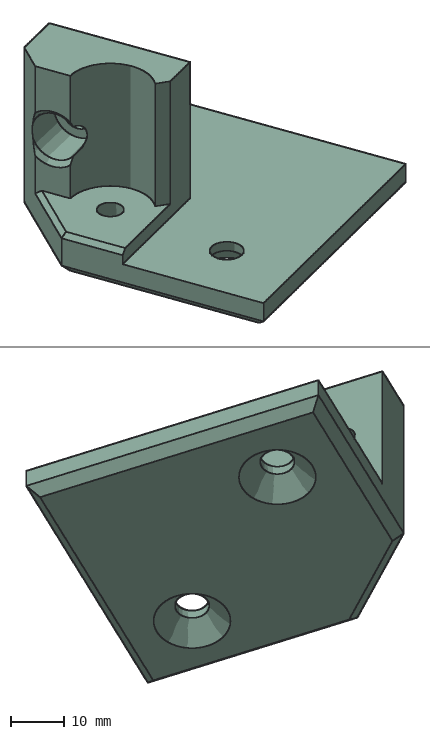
import cadquery as cq
import math

length = 60.0
width = 57.0
plate_height = 6.0
corner_cut = 17.0
bottom_chamfer = 2.0

block_length = 30.0
block_width = 27.0
total_height = 36.0
floor_height = 9.0
edge_chamfer = 1.0

seat_x = 21.0
seat_y = 12.0
seat_radius = 8.5
lip_x = 27.9

pin_diameter = 5.1
pin_depth = 6.0

mount_diameter = 6.4
mount_lip = 2.0
mount_centers = [(15.0, 42.0), (45.0, 13.5)]

screw_x = 8.7
screw_z = 21.0
screw_diameter = 6.1
head_diameter = 10.0
head_seat_wall = 5.0


def cut_corner_slab(size_x, size_y, height):
    """Rectangular slab at the origin with its corner cut at 45 degrees."""
    return (
        cq.Workplane("XY")
        .moveTo(corner_cut, 0)
        .lineTo(size_x, 0)
        .lineTo(size_x, size_y)
        .lineTo(0, size_y)
        .lineTo(0, corner_cut)
        .close()
        .extrude(height)
    )


def make_plate():
    slab = cut_corner_slab(length, width, plate_height)
    return slab.faces("<Z").chamfer(bottom_chamfer)


def make_floor():
    """Seat floor, bevelled along its two outer front edges."""
    slab = cut_corner_slab(block_length, block_width, floor_height - bottom_chamfer)
    slab = slab.translate((0, 0, bottom_chamfer))
    front_edge = slab.faces("<Y").edges(">Z")
    facing_corner = cq.selectors.DirectionMinMaxSelector(cq.Vector(1, 1, 0), False)
    diagonal_edge = slab.faces(facing_corner).edges(">Z")
    return front_edge.add(diagonal_edge).chamfer(edge_chamfer)


def make_wall():
    """Upright wall with the round rod seat and a lip sloping at 45 degrees."""
    lip_y = seat_y + math.sqrt(seat_radius**2 - (lip_x - seat_x) ** 2)
    lip_run = block_length - lip_x
    return (
        cq.Workplane("XY", origin=(0, 0, bottom_chamfer))
        .moveTo(0, block_width)
        .lineTo(0, corner_cut)
        .lineTo(corner_cut - seat_y, seat_y)
        .lineTo(seat_x - seat_radius, seat_y)
        .threePointArc((seat_x, seat_y + seat_radius), (lip_x, lip_y))
        .lineTo(block_length, lip_y + lip_run)
        .lineTo(block_length, block_width)
        .close()
        .extrude(total_height - bottom_chamfer)
    )


def make_screw_cutter():
    """Through hole, counterbore and bevelled mouth as one turned shape along Y."""
    hole_radius = screw_diameter / 2
    head_radius = head_diameter / 2
    mouth_radius = head_radius + edge_chamfer
    head_seat_y = block_width - head_seat_wall
    return (
        cq.Workplane("XY")
        .moveTo(0, seat_y)
        .lineTo(mouth_radius, seat_y)
        .lineTo(head_radius, seat_y + edge_chamfer)
        .lineTo(head_radius, head_seat_y)
        .lineTo(hole_radius, head_seat_y)
        .lineTo(hole_radius, block_width)
        .lineTo(0, block_width)
        .close()
        .revolve(360, (0, 0, 0), (0, 1, 0))
        .translate((screw_x, 0, screw_z))
    )


def make_pin_cutter():
    pin_bottom = floor_height - pin_depth
    return (
        cq.Workplane("XY", origin=(seat_x, seat_y, pin_bottom))
        .circle(pin_diameter / 2)
        .extrude(pin_depth)
    )


def make_mount_cutter():
    """Straight holes widening into 45 degree countersinks on the underside."""
    hole_radius = mount_diameter / 2
    sink_depth = plate_height - mount_lip
    sink_radius = hole_radius + sink_depth
    profile = [
        (0, 0),
        (sink_radius, 0),
        (hole_radius, sink_depth),
        (hole_radius, plate_height),
        (0, plate_height),
    ]
    cutter = cq.Workplane("XZ").polyline(profile).close().revolve(360, (0, 0, 0), (0, 1, 0))
    cutters = cq.Workplane("XY")
    for x, y in mount_centers:
        cutters = cutters.add(cutter.translate((x, y, 0)))
    return cutters.combine()


result = make_plate().union(make_floor()).union(make_wall())
result = result.cut(make_screw_cutter()).cut(make_pin_cutter()).cut(make_mount_cutter())